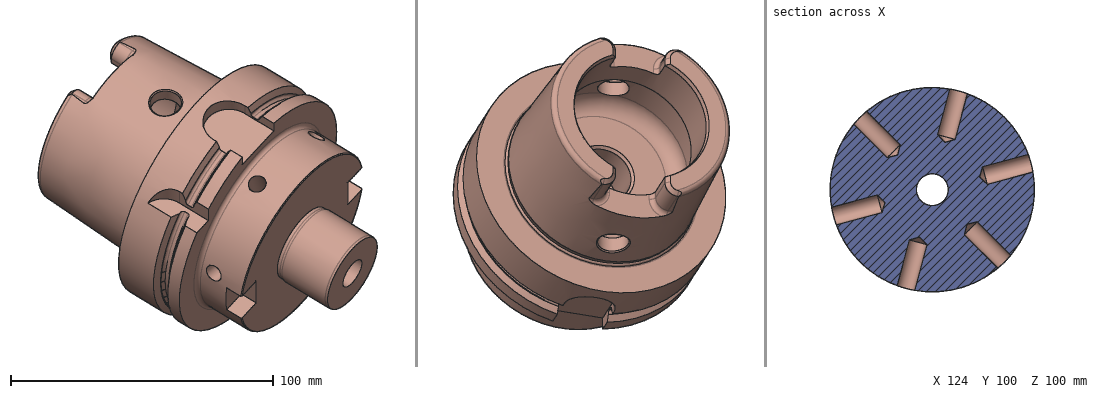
import cadquery as cq
import math


SHANK_LENGTH = 50.0
GAUGE_DIAMETER = 75.0
GAUGE_OFFSET = 12.5
TAPER_RATIO = 0.1
SHANK_END_FILLET = 2.0
RELIEF_DIAMETER = 75.3
RELIEF_LENGTH = 1.5
RELIEF_RAMP = 1.2
RELIEF_FILLET = 0.9
FACE_RECESS_DIAMETER = 78.0
FACE_RECESS_DEPTH = 0.1

FLANGE_DIAMETER = 100.0
FLANGE_LENGTH = 29.0
GROOVE_CENTER = 20.1
GROOVE_DIAMETER = 92.0
GROOVE_MOUTH_WIDTH = 6.8
GROOVE_FLOOR_WIDTH = 3.8
GROOVE_SIDE_HEIGHT = 1.5
GROOVE_FLOOR_FILLET = 1.1

BODY_DIAMETER = 78.0
BODY_END = 50.0
BODY_FILLET = 1.7
BODY_CHAMFER = 0.4

SPIGOT_DIAMETER = 32.0
SPIGOT_LENGTH = 24.0
SPIGOT_CHAMFER_LENGTH = 1.0
SPIGOT_END_DIAMETER = 31.6
SPIGOT_RELIEF_DIAMETER = 31.4
SPIGOT_RELIEF_LENGTH = 1.4
SPIGOT_RELIEF_RAMP = 1.1

BORE_DIAMETER = 53.0
BORE_CHAMFER = 0.6
BORE_CHAMFER_LENGTH = 1.7
BORE_LAND_DEPTH = 20.3
UNDERCUT_DIAMETER = 63.0
UNDERCUT_CONE_ANGLE = 60
BORE_DEPTH = 46.7
BORE_FLOOR_DIAMETER = 49.7
TUBE_SEAT_DIAMETER = 22.5
TUBE_SEAT_MOUTH_DIAMETER = 24.5
TUBE_SEAT_DEPTH = 18.6
THROUGH_HOLE_DIAMETER = 12.0

DRIVE_SLOT_WIDTH = 19.8
DRIVE_SLOT_DEPTH_TOP = 9.9
DRIVE_SLOT_DEPTH_BOTTOM = 15.1
DRIVE_FLAT_HEIGHT = 32.2
DRIVE_CORNER_RADIUS = 5.0
DRIVE_FLOOR_FILLET = 2.0
DRIVE_MOUTH_CHAMFER = 1.6

CROSS_HOLE_DIAMETER = 12.0
CROSS_HOLE_X = -15.0
CROSS_HOLE_CHAMFER = 0.5

NOTCH_WIDTH = 20.0
NOTCH_CENTER_X = 15.3
NOTCH_FLOOR_HEIGHT = 44.0
CORNER_NOTCH_HEIGHT = 31.5

KEY_SLOT_WIDTH = 14.0
KEY_SLOT_LENGTH = 7.1
KEY_SLOT_DEPTH = 9.9

RADIAL_HOLE_COUNT = 6
RADIAL_HOLE_DIAMETER = 6.8
RADIAL_HOLE_X = 36.2
RADIAL_HOLE_DEPTH = 18.2
RADIAL_HOLE_START_ANGLE = 45
DRILL_POINT_ANGLE = 118

SHANK_END = -SHANK_LENGTH
SPIGOT_END = BODY_END + SPIGOT_LENGTH
FLANGE_RADIUS = FLANGE_DIAMETER / 2
BODY_RADIUS = BODY_DIAMETER / 2


def taper_radius(x):
    """Outer radius of the taper at position x."""
    return (GAUGE_DIAMETER + TAPER_RATIO * (x + GAUGE_OFFSET)) / 2


def revolve_about_x(outline):
    return outline.close().revolve(360, (0, 0, 0), (1, 0, 0))


def make_outside():
    """Turned outside of shank, flange, body and spigot."""
    groove_start = GROOVE_CENTER - GROOVE_MOUTH_WIDTH / 2
    groove_end = GROOVE_CENTER + GROOVE_MOUTH_WIDTH / 2
    floor_start = GROOVE_CENTER - GROOVE_FLOOR_WIDTH / 2
    floor_end = GROOVE_CENTER + GROOVE_FLOOR_WIDTH / 2
    groove_radius = GROOVE_DIAMETER / 2
    side_top = groove_radius + GROOVE_SIDE_HEIGHT
    side_bottom = groove_radius + GROOVE_FLOOR_FILLET
    relief_radius = RELIEF_DIAMETER / 2
    spigot_radius = SPIGOT_DIAMETER / 2
    spigot_relief_radius = SPIGOT_RELIEF_DIAMETER / 2
    spigot_end_radius = SPIGOT_END_DIAMETER / 2
    spigot_relief_end = BODY_END + SPIGOT_RELIEF_LENGTH
    taper_end = -RELIEF_LENGTH - RELIEF_RAMP

    fillet_x = SHANK_END + SHANK_END_FILLET
    fillet_y = taper_radius(fillet_x) - SHANK_END_FILLET
    fillet_reach = SHANK_END_FILLET * math.sqrt(0.5)

    outline = (
        cq.Workplane("XY")
        .moveTo(SHANK_END, 0)
        .lineTo(SHANK_END, fillet_y)
        .threePointArc(
            (fillet_x - fillet_reach, fillet_y + fillet_reach),
            (fillet_x, fillet_y + SHANK_END_FILLET),
        )
        .lineTo(taper_end, taper_radius(taper_end))
        .lineTo(-RELIEF_LENGTH, relief_radius)
        .lineTo(FACE_RECESS_DEPTH - RELIEF_FILLET, relief_radius)
        .radiusArc((FACE_RECESS_DEPTH, relief_radius + RELIEF_FILLET), RELIEF_FILLET)
        .lineTo(0, FACE_RECESS_DIAMETER / 2)
        .lineTo(0, FLANGE_RADIUS)
        .lineTo(groove_start, FLANGE_RADIUS)
        .lineTo(floor_start, side_top)
        .lineTo(floor_start, side_bottom)
        .radiusArc((floor_start + GROOVE_FLOOR_FILLET, groove_radius), -GROOVE_FLOOR_FILLET)
        .lineTo(floor_end - GROOVE_FLOOR_FILLET, groove_radius)
        .radiusArc((floor_end, side_bottom), -GROOVE_FLOOR_FILLET)
        .lineTo(floor_end, side_top)
        .lineTo(groove_end, FLANGE_RADIUS)
        .lineTo(FLANGE_LENGTH, FLANGE_RADIUS)
        .lineTo(FLANGE_LENGTH, BODY_RADIUS + BODY_FILLET)
        .radiusArc((FLANGE_LENGTH + BODY_FILLET, BODY_RADIUS), -BODY_FILLET)
        .lineTo(BODY_END - BODY_CHAMFER, BODY_RADIUS)
        .lineTo(BODY_END, BODY_RADIUS - BODY_CHAMFER)
        .lineTo(BODY_END, spigot_relief_radius)
        .lineTo(spigot_relief_end, spigot_relief_radius)
        .lineTo(spigot_relief_end + SPIGOT_RELIEF_RAMP, spigot_radius)
        .lineTo(SPIGOT_END - SPIGOT_CHAMFER_LENGTH, spigot_radius)
        .lineTo(SPIGOT_END, spigot_end_radius)
        .lineTo(SPIGOT_END, 0)
    )
    return revolve_about_x(outline)


def make_bore():
    """Stepped bore: chamfered mouth, land, undercut with a rounded floor, tube seat and through hole."""
    bore_radius = BORE_DIAMETER / 2
    undercut_radius = UNDERCUT_DIAMETER / 2
    land_end = SHANK_END + BORE_LAND_DEPTH
    cone_length = (undercut_radius - bore_radius) / math.tan(math.radians(UNDERCUT_CONE_ANGLE))
    floor_radius = BORE_FLOOR_DIAMETER / 2
    floor_fillet = undercut_radius - floor_radius
    floor_x = SHANK_END + BORE_DEPTH
    seat_radius = TUBE_SEAT_DIAMETER / 2
    seat_mouth_radius = TUBE_SEAT_MOUTH_DIAMETER / 2
    seat_end = floor_x + TUBE_SEAT_DEPTH
    hole_radius = THROUGH_HOLE_DIAMETER / 2

    outline = (
        cq.Workplane("XY")
        .moveTo(SHANK_END, 0)
        .lineTo(SHANK_END, bore_radius + BORE_CHAMFER)
        .lineTo(SHANK_END + BORE_CHAMFER_LENGTH, bore_radius)
        .lineTo(land_end, bore_radius)
        .lineTo(land_end + cone_length, undercut_radius)
        .lineTo(floor_x - floor_fillet, undercut_radius)
        .radiusArc((floor_x, floor_radius), floor_fillet)
        .lineTo(floor_x, seat_mouth_radius)
        .lineTo(floor_x + seat_mouth_radius - seat_radius, seat_radius)
        .lineTo(seat_end, seat_radius)
        .lineTo(seat_end, hole_radius)
        .lineTo(SPIGOT_END, hole_radius)
        .lineTo(SPIGOT_END, 0)
    )
    return revolve_about_x(outline)


def drive_slot_outline():
    """Slot section at the shank end: straight walls that flare out onto a flat."""
    half_width = DRIVE_SLOT_WIDTH / 2
    corner_width = half_width + DRIVE_CORNER_RADIUS
    wall_height = DRIVE_FLAT_HEIGHT - DRIVE_CORNER_RADIUS
    return (
        cq.Workplane("YZ", origin=(SHANK_END, 0, 0))
        .moveTo(-half_width, 0)
        .lineTo(-half_width, wall_height)
        .radiusArc((-corner_width, DRIVE_FLAT_HEIGHT), -DRIVE_CORNER_RADIUS)
        .lineTo(-FLANGE_RADIUS, DRIVE_FLAT_HEIGHT)
        .lineTo(-FLANGE_RADIUS, FLANGE_RADIUS)
        .lineTo(FLANGE_RADIUS, FLANGE_RADIUS)
        .lineTo(FLANGE_RADIUS, DRIVE_FLAT_HEIGHT)
        .lineTo(corner_width, DRIVE_FLAT_HEIGHT)
        .radiusArc((half_width, wall_height), -DRIVE_CORNER_RADIUS)
        .lineTo(half_width, 0)
        .close()
    )


def make_drive_slot(depth):
    """Drive slot on the +Z side, with a filleted floor and a chamfered mouth."""
    slot = drive_slot_outline().extrude(depth).faces(">X").edges().fillet(DRIVE_FLOOR_FILLET)
    mouth = (
        drive_slot_outline()
        .offset2D(DRIVE_MOUTH_CHAMFER, "intersection")
        .extrude(DRIVE_MOUTH_CHAMFER, taper=45)
    )
    return slot.union(mouth)


def drill_cross_hole(part):
    """Drill through both shank walls along Z and chamfer each outer rim."""
    hole = (
        cq.Workplane("XY", origin=(CROSS_HOLE_X, 0, 0))
        .circle(CROSS_HOLE_DIAMETER / 2)
        .extrude(FLANGE_RADIUS, both=True)
    )
    part = part.cut(hole)
    for rim_height in (taper_radius(CROSS_HOLE_X), -taper_radius(CROSS_HOLE_X)):
        rim = cq.NearestToPointSelector((CROSS_HOLE_X, 0, rim_height))
        part = part.edges(rim).chamfer(CROSS_HOLE_CHAMFER)
    return part


def make_flange_notch(center_y, floor_height):
    """Round-ended notch cut down to floor_height and open at the back of the flange."""
    radius = NOTCH_WIDTH / 2
    height = FLANGE_RADIUS - floor_height
    straight_length = FLANGE_LENGTH - NOTCH_CENTER_X
    base = cq.Workplane("XY", origin=(NOTCH_CENTER_X, center_y, floor_height))
    round_end = base.circle(radius).extrude(height)
    straight = base.center(straight_length / 2, 0).rect(straight_length, NOTCH_WIDTH).extrude(height)
    return round_end.union(straight)


def make_key_slot():
    """Key slot in the end face of the body on its -Y side."""
    corner = cq.Workplane("XY", origin=(BODY_END - KEY_SLOT_LENGTH, -BODY_RADIUS, 0))
    return corner.box(KEY_SLOT_LENGTH, KEY_SLOT_DEPTH, KEY_SLOT_WIDTH, centered=(False, False, True))


def make_radial_hole():
    """Blind drilled hole on the +Y side of the body."""
    radius = RADIAL_HOLE_DIAMETER / 2
    bottom = BODY_RADIUS - RADIAL_HOLE_DEPTH
    point_length = radius / math.tan(math.radians(DRILL_POINT_ANGLE / 2))
    outline = (
        cq.Workplane("XY", origin=(RADIAL_HOLE_X, 0, 0))
        .moveTo(0, BODY_RADIUS)
        .lineTo(radius, BODY_RADIUS)
        .lineTo(radius, bottom)
        .lineTo(0, bottom - point_length)
        .close()
    )
    return outline.revolve(360, (0, 0, 0), (0, 1, 0))


def turn_about_x(shape, angle):
    return shape.rotate((0, 0, 0), (1, 0, 0), angle)


result = make_outside().cut(make_bore())

result = result.cut(make_drive_slot(DRIVE_SLOT_DEPTH_TOP))
result = result.cut(turn_about_x(make_drive_slot(DRIVE_SLOT_DEPTH_BOTTOM), 180))
result = drill_cross_hole(result)

flange_notch = make_flange_notch(0, NOTCH_FLOOR_HEIGHT)
result = result.cut(flange_notch)
result = result.cut(turn_about_x(flange_notch, 180))
corner_notch_y = -CORNER_NOTCH_HEIGHT - NOTCH_WIDTH / 2
result = result.cut(make_flange_notch(corner_notch_y, CORNER_NOTCH_HEIGHT))

key_slot = make_key_slot()
result = result.cut(key_slot)
result = result.cut(turn_about_x(key_slot, 180))

radial_hole = make_radial_hole()
for index in range(RADIAL_HOLE_COUNT):
    angle = RADIAL_HOLE_START_ANGLE + index * 360 / RADIAL_HOLE_COUNT
    result = result.cut(turn_about_x(radial_hole, angle))